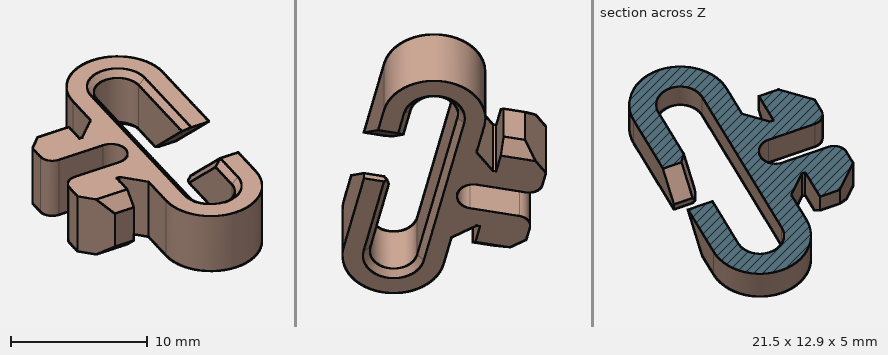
import cadquery as cq
import math

thickness = 5.0

loop_width = 21.5
loop_height = 7.5
wall = 2.0
hole_width = loop_width - 2 * wall
hole_height = loop_height - 2 * wall
rim_chamfer = 0.5
rim_width = hole_width + 2 * rim_chamfer
rim_height = hole_height + 2 * rim_chamfer

slit_left = 0.0
slit_right = 4.35
tip_height = 0.57
tip_x = slit_right - (thickness - tip_height)

foot_top = -loop_height / 2
foot_length = 5.4
foot_bottom = foot_top - foot_length
neck_root_half = 4.35
neck_half = 2.8
neck_taper_end = foot_top - (neck_root_half - neck_half)
barb_half = 5.4
barb_gap = 1.8
barb_top = foot_top - barb_gap
barb_lead_in = 2.0
barb_corner = 1.0

slot_half = 1.2
slot_depth = 5.9
slot_arc_center = foot_bottom + slot_depth - slot_half
leg_round = 1.0


def make_loop():
    return cq.Workplane("XY").slot2D(loop_width, loop_height).extrude(thickness)


def make_foot():
    """Both legs as one block, rooted in the middle of the loop's lower bar."""
    root = foot_top + wall / 2
    right_side = [
        (neck_root_half, root),
        (neck_root_half, foot_top),
        (neck_half, neck_taper_end),
        (neck_half, barb_top),
        (barb_half, barb_top),
        (barb_half, foot_bottom + barb_lead_in),
        (barb_half - barb_lead_in, foot_bottom),
    ]
    left_side = [(-x, y) for x, y in reversed(right_side)]
    return cq.Workplane("XY").polyline(right_side + left_side).close().extrude(thickness)


def barb_corner_cutters():
    """Triangular prisms that bevel the top and bottom of each barb's outer face."""
    cutters = cq.Workplane("XY")
    for side in (-1, 1):
        for face_z, inward in ((0, 1), (thickness, -1)):
            triangle = [
                (side * barb_half, face_z),
                (side * (barb_half - barb_corner), face_z),
                (side * barb_half, face_z + inward * barb_corner),
            ]
            prism = (
                cq.Workplane("XZ", origin=(0, barb_top, 0))
                .polyline(triangle)
                .close()
                .extrude(barb_top - foot_bottom)
            )
            cutters = cutters.add(prism)
    return cutters.combine()


def leg_slot_cutter():
    """Round-ended slot between the legs, flared by the rounding of the leg ends."""
    mouth_half = slot_half + leg_round
    round_start = foot_bottom + leg_round
    round_offset = leg_round * math.sqrt(0.5)
    round_mid_x = mouth_half - round_offset
    round_mid_y = round_start - round_offset
    return (
        cq.Workplane("XY")
        .moveTo(-mouth_half, foot_bottom)
        .threePointArc((-round_mid_x, round_mid_y), (-slot_half, round_start))
        .lineTo(-slot_half, slot_arc_center)
        .threePointArc((0, slot_arc_center + slot_half), (slot_half, slot_arc_center))
        .lineTo(slot_half, round_start)
        .threePointArc((round_mid_x, round_mid_y), (mouth_half, foot_bottom))
        .close()
        .extrude(thickness)
    )


def hole_cutter():
    """Stadium hole that widens at 45 degrees towards the top and bottom faces."""
    hole = cq.Workplane("XY").slot2D(hole_width, hole_height).extrude(thickness)
    bottom_rim = cq.Workplane("XY").slot2D(rim_width, rim_height).extrude(rim_chamfer, taper=45)
    top_rim = bottom_rim.mirror("XY").translate((0, 0, thickness))
    return hole.union(bottom_rim).union(top_rim)


def slit_cutter():
    """Slanted gap that leaves a blunt tip on the right arm."""
    profile = [
        (slit_left, thickness),
        (slit_right, thickness),
        (tip_x, tip_height),
        (tip_x, 0),
        (slit_left - thickness, 0),
    ]
    return cq.Workplane("XZ").polyline(profile).close().extrude(-loop_height / 2)


def slit_chamfer_cutter():
    """Prism that bevels the inner edge of the right arm's slanted end."""
    across_slit = cq.Plane(
        origin=(slit_right, 0, thickness), xDir=(1, 0, -1), normal=(1, 0, 1)
    )
    triangle = [
        (0, rim_height / 2),
        (rim_chamfer, hole_height / 2),
        (0, hole_height / 2),
    ]
    slit_length = thickness * math.sqrt(2)
    return cq.Workplane(across_slit).polyline(triangle).close().extrude(slit_length, both=True)


foot = make_foot().cut(barb_corner_cutters())
result = (
    make_loop()
    .union(foot)
    .cut(leg_slot_cutter())
    .cut(hole_cutter())
    .cut(slit_cutter())
    .cut(slit_chamfer_cutter())
)